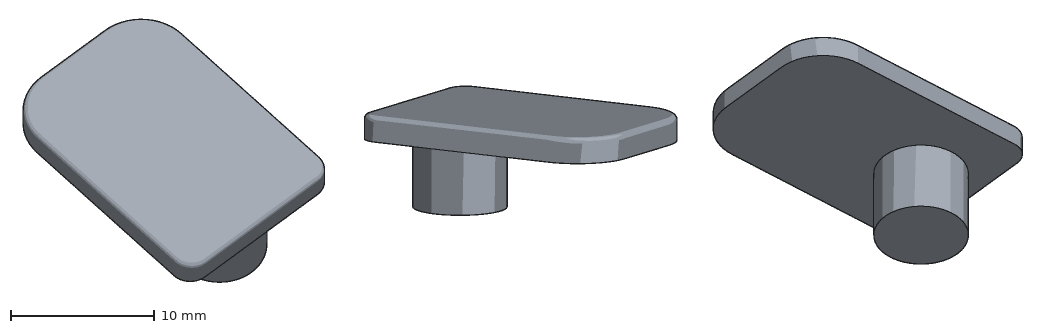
import cadquery as cq

length = 19.6
width = 13.6
plate_thickness = 1.8
left_corner_radius = 3.82
right_corner_radius = 1.5
top_edge_radius = 0.4

total_height = 7.2
post_diameter = 6.6
post_to_right_edge = 4.31
post_height = total_height - plate_thickness
post_x = length / 2 - post_to_right_edge


def make_plate():
    """Plate with large left corners, small right corners and a rounded top rim."""
    plate = cq.Workplane("XY").box(length, width, plate_thickness, centered=(True, True, False))
    plate = plate.edges("|Z and <X").fillet(left_corner_radius)
    plate = plate.edges("|Z and >X").fillet(right_corner_radius)
    return plate.faces(">Z").edges().fillet(top_edge_radius)


def make_post():
    """Solid cylinder hanging from the underside of the plate."""
    return cq.Workplane("XY").center(post_x, 0).circle(post_diameter / 2).extrude(-post_height)


result = make_plate().union(make_post())